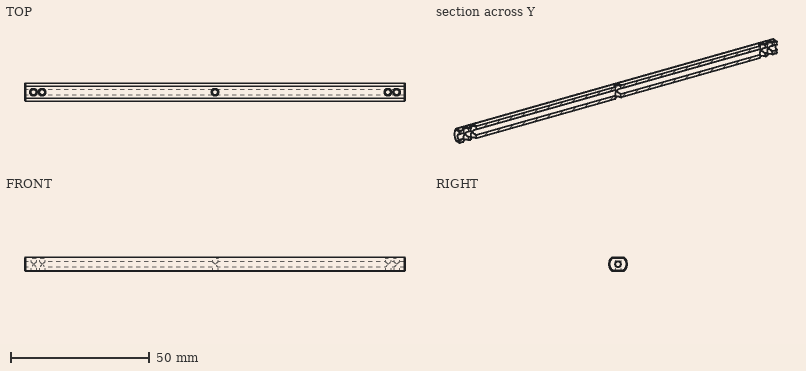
import cadquery as cq

length = 137.5
rod_diameter = 6.6
height_across_flats = 5.0
end_chamfer = 0.3

bore_diameter = 2.0

cross_hole_diameter = 2.0
countersink_diameter = 2.6
countersink_angle = 90.0
outer_hole_inset = 3.125
inner_hole_inset = 2 * outer_hole_inset


def make_bar():
    """Rod centred on the origin, trimmed to its flats and chamfered at both ends."""
    rod = cq.Workplane("YZ").circle(rod_diameter / 2).extrude(length / 2, both=True)
    envelope = cq.Workplane("XY").box(length, rod_diameter, height_across_flats)
    trimmed_rod = rod.intersect(envelope)
    return trimmed_rod.faces("<X or >X").chamfer(end_chamfer)


def drill_bore(bar):
    """Axial hole through the full length."""
    return bar.faces("<X").workplane(centerOption="CenterOfBoundBox").hole(bore_diameter)


def drill_cross_holes(bar, flat):
    """Row of through holes, one in the middle and a pair at each end, countersunk at the given flat."""
    outer_x = length / 2 - outer_hole_inset
    inner_x = length / 2 - inner_hole_inset
    centres = [(x, 0) for x in (-outer_x, -inner_x, 0, inner_x, outer_x)]
    return (
        bar.faces(flat)
        .workplane(origin=(0, 0, 0))
        .pushPoints(centres)
        .cskHole(cross_hole_diameter, countersink_diameter, countersink_angle)
    )


bar = make_bar()
bar = drill_bore(bar)
for flat in (">Z", "<Z"):
    bar = drill_cross_holes(bar, flat)

result = bar